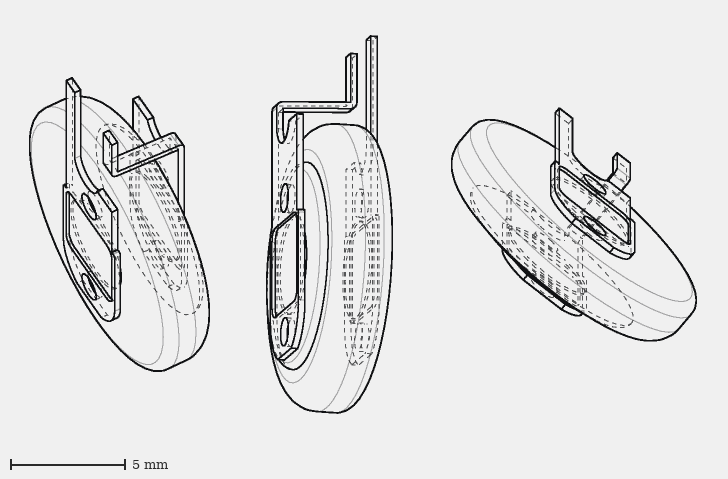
import cadquery as cq
import math


CELL_DIAMETER = 12.6
CELL_RADIUS = CELL_DIAMETER / 2
CAN_DEPTH = 2.55
CAN_FRONT_ROUND = 0.5
CAN_REAR_ROUND = 1.2
CAP_RADIUS = 4.55
CAP_HEIGHT = 0.3
CONTACT_RADIUS = 2.15
CONTACT_HEIGHT = 0.106

PLATE_THICKNESS = 0.3
NECK_WIDTH = 4.0
TAIL_WIDTH = 4.5
TAIL_TOP = NECK_WIDTH / 2
TAIL_BOTTOM = -NECK_WIDTH
TAIL_ROUND = 2.15
TAIL_ROUND_X = TAIL_WIDTH / 2 - TAIL_ROUND
TAIL_ROUND_Z = -2.1
TAIL_CORNER_ROUND = 0.15
HOLE_DIAMETER = 1.25
HOLE_OFFSET = 3.01
POCKET_SIDE = NECK_WIDTH
POCKET_CORNER_ROUND = 0.5
POCKET_DEPTH = 0.15
FRONT_SHOULDER = 5.02
REAR_SHOULDER = 6.33

NOTCH_RADIUS = 1.0
NOTCH_RISE = 0.25
NOTCH_CENTER_X = 0.26

LEAD_WIDTH = 0.75
LEAD_OUTER = NECK_WIDTH / 2
LEAD_INNER = LEAD_OUTER - LEAD_WIDTH
OVERALL_HEIGHT = 16.35
LEAD_TOP = OVERALL_HEIGHT - CELL_RADIUS
BEND_HEIGHT = 7.37
BRIDGE_ANGLE = math.radians(3.5)

CAN_FRONT = 0
CAN_REAR = CAN_FRONT + CAN_DEPTH
CAP_REAR = CAN_REAR + CAP_HEIGHT
FRONT_INNER = CAN_FRONT - CONTACT_HEIGHT
FRONT_OUTER = FRONT_INNER - PLATE_THICKNESS
REAR_INNER = CAP_REAR + CONTACT_HEIGHT
REAR_OUTER = REAR_INNER + PLATE_THICKNESS


def point_on_circle(center_a, center_b, radius, angle):
    """Point on a circle at an angle in radians."""
    return (center_a + radius * math.cos(angle), center_b + radius * math.sin(angle))


def make_cell():
    """Rounded can, raised cap and a contact disc on each flat side, as one turned profile."""
    front_round_middle = point_on_circle(
        CELL_RADIUS - CAN_FRONT_ROUND, CAN_FRONT + CAN_FRONT_ROUND, CAN_FRONT_ROUND, -math.pi / 4
    )
    rear_round_middle = point_on_circle(
        CELL_RADIUS - CAN_REAR_ROUND, CAN_REAR - CAN_REAR_ROUND, CAN_REAR_ROUND, math.pi / 4
    )
    cap_round_middle = point_on_circle(CAP_RADIUS - CAP_HEIGHT, CAN_REAR, CAP_HEIGHT, math.pi / 4)
    return (
        cq.Workplane("XY")
        .moveTo(0, FRONT_INNER)
        .lineTo(CONTACT_RADIUS, FRONT_INNER)
        .lineTo(CONTACT_RADIUS, CAN_FRONT)
        .lineTo(CELL_RADIUS - CAN_FRONT_ROUND, CAN_FRONT)
        .threePointArc(front_round_middle, (CELL_RADIUS, CAN_FRONT + CAN_FRONT_ROUND))
        .lineTo(CELL_RADIUS, CAN_REAR - CAN_REAR_ROUND)
        .threePointArc(rear_round_middle, (CELL_RADIUS - CAN_REAR_ROUND, CAN_REAR))
        .lineTo(CAP_RADIUS, CAN_REAR)
        .threePointArc(cap_round_middle, (CAP_RADIUS - CAP_HEIGHT, CAP_REAR))
        .lineTo(CONTACT_RADIUS, CAP_REAR)
        .lineTo(CONTACT_RADIUS, REAR_INNER)
        .lineTo(0, REAR_INNER)
        .close()
        .revolve(360, (0, 0, 0), (0, 1, 0))
    )


def slab(outer_y, depth, inward):
    """XZ workplane at a plate's outer face, and the signed extrusion length that goes inward."""
    return cq.Workplane("XZ", origin=(0, outer_y, 0)), -inward * depth


def make_plate(outer_y, inward, shoulder, lead_side, lead_end):
    """Flat terminal: tail, neck and straight lead, with its notch, round holes and square pocket.

    inward is +1 or -1, the Y direction toward the cell; lead_side is the X side of the lead.
    """
    sketch, thickness = slab(outer_y, PLATE_THICKNESS, inward)

    bottom_angle = math.asin((TAIL_BOTTOM - TAIL_ROUND_Z) / TAIL_ROUND)
    tail_bottom_half = TAIL_ROUND_X + TAIL_ROUND * math.cos(bottom_angle)
    round_x, round_z = point_on_circle(TAIL_ROUND_X, TAIL_ROUND_Z, TAIL_ROUND, bottom_angle / 2)
    tail = (
        sketch.moveTo(-TAIL_WIDTH / 2, TAIL_TOP)
        .lineTo(TAIL_WIDTH / 2, TAIL_TOP)
        .lineTo(TAIL_WIDTH / 2, TAIL_ROUND_Z)
        .threePointArc((round_x, round_z), (tail_bottom_half, TAIL_BOTTOM))
        .lineTo(-tail_bottom_half, TAIL_BOTTOM)
        .threePointArc((-round_x, round_z), (-TAIL_WIDTH / 2, TAIL_ROUND_Z))
        .close()
        .extrude(thickness)
        .edges("|Y and >Z")
        .fillet(TAIL_CORNER_ROUND)
    )

    notch_x = lead_side * NOTCH_CENTER_X
    notch_z = shoulder + NOTCH_RISE
    notch_start_z = notch_z - math.sqrt(NOTCH_RADIUS**2 - (LEAD_INNER - NOTCH_CENTER_X) ** 2)
    notch_end_x = notch_x - lead_side * math.sqrt(NOTCH_RADIUS**2 - NOTCH_RISE**2)
    neck = (
        sketch.moveTo(lead_side * LEAD_OUTER, 0)
        .lineTo(lead_side * LEAD_OUTER, lead_end)
        .lineTo(lead_side * LEAD_INNER, lead_end)
        .lineTo(lead_side * LEAD_INNER, notch_start_z)
        .threePointArc((notch_x, notch_z - NOTCH_RADIUS), (notch_end_x, shoulder))
        .lineTo(-lead_side * NECK_WIDTH / 2, shoulder)
        .lineTo(-lead_side * NECK_WIDTH / 2, 0)
        .close()
        .extrude(thickness)
    )

    holes = (
        sketch.pushPoints([(0, HOLE_OFFSET), (0, -HOLE_OFFSET)])
        .circle(HOLE_DIAMETER / 2)
        .extrude(thickness)
    )
    pocket_sketch, pocket_depth = slab(outer_y, POCKET_DEPTH, inward)
    pocket = (
        pocket_sketch.rect(POCKET_SIDE, POCKET_SIDE)
        .extrude(pocket_depth)
        .edges("|Y")
        .fillet(POCKET_CORNER_ROUND)
    )
    return tail.union(neck).cut(holes).cut(pocket)


def make_lead_bridge():
    """Bent strip that carries the rear lead forward over the cell and up in line with the front plate."""
    sin_bridge = math.sin(BRIDGE_ANGLE)
    cos_bridge = math.cos(BRIDGE_ANGLE)
    thickness = PLATE_THICKNESS

    rear_top = (REAR_INNER + thickness * sin_bridge, BEND_HEIGHT + thickness * cos_bridge)
    rear_middle = point_on_circle(REAR_INNER, BEND_HEIGHT, thickness, (math.pi / 2 - BRIDGE_ANGLE) / 2)

    front_corner_z = rear_top[1] + (rear_top[0] - FRONT_INNER) * math.tan(BRIDGE_ANGLE)
    front_bottom = (FRONT_INNER - thickness * sin_bridge, front_corner_z - thickness * cos_bridge)
    front_middle_angle = math.pi + (math.pi / 2 - BRIDGE_ANGLE) / 2
    front_middle = point_on_circle(FRONT_INNER, front_corner_z, thickness, front_middle_angle)

    return (
        cq.Workplane("YZ", origin=(LEAD_INNER, 0, 0))
        .moveTo(REAR_INNER, BEND_HEIGHT)
        .lineTo(REAR_OUTER, BEND_HEIGHT)
        .threePointArc(rear_middle, rear_top)
        .lineTo(FRONT_INNER, front_corner_z)
        .lineTo(FRONT_INNER, LEAD_TOP)
        .lineTo(FRONT_OUTER, LEAD_TOP)
        .lineTo(FRONT_OUTER, front_corner_z)
        .threePointArc(front_middle, front_bottom)
        .close()
        .extrude(LEAD_WIDTH)
    )


def make_front_terminal():
    """Flat terminal with its lead on the -X side."""
    return make_plate(FRONT_OUTER, 1, FRONT_SHOULDER, -1, LEAD_TOP)


def make_rear_terminal():
    """Terminal with its lead on the +X side, bent forward over the cell."""
    return make_plate(REAR_OUTER, -1, REAR_SHOULDER, 1, BEND_HEIGHT).union(make_lead_bridge())


cell = make_cell()
front_terminal = make_front_terminal()
rear_terminal = make_rear_terminal()

result = cq.Compound.makeCompound([cell.val(), front_terminal.val(), rear_terminal.val()])